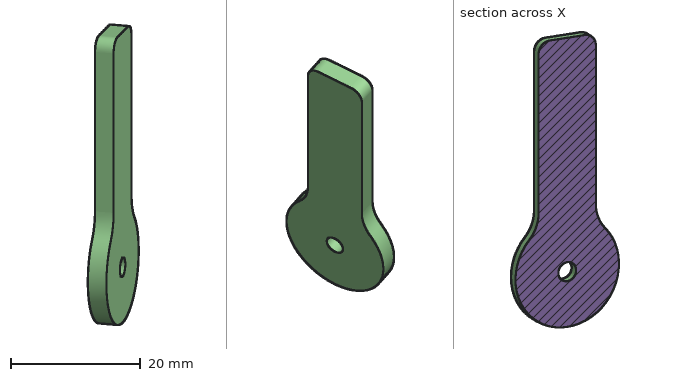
import cadquery as cq

total_length = 46.95
thickness = 3.0
disc_diameter = 18.0
arm_width = 10.0
hole_diameter = 3.0
tip_corner_radius = 2.0
neck_radius = 6.0

disc_radius = disc_diameter / 2
arm_top = total_length - disc_radius


def make_disc():
    """Round pivot end, centred on the origin."""
    return cq.Workplane("YZ").circle(disc_radius).extrude(thickness / 2, both=True)


def make_arm():
    """Straight arm rising from the disc centre, with rounded tip corners."""
    arm = cq.Workplane("XY").box(thickness, arm_width, arm_top, centered=(True, True, False))
    return arm.faces(">Z").edges("|X").fillet(tip_corner_radius)


def blend_neck(body):
    """Round the two inside corners where the arm meets the disc."""
    neck_height = (disc_radius**2 - (arm_width / 2) ** 2) ** 0.5
    neck_box_size = 0.45
    for side in (-1, 1):
        corner = cq.Vector(0, side * arm_width / 2, neck_height)
        reach = cq.Vector(thickness, neck_box_size, neck_box_size)
        selector = cq.selectors.BoxSelector(corner - reach, corner + reach)
        body = body.edges("|X").edges(selector).fillet(neck_radius)
    return body


lever = blend_neck(make_disc().union(make_arm()))
pivot_hole = cq.Workplane("YZ").circle(hole_diameter / 2).extrude(thickness / 2, both=True)
result = lever.cut(pivot_hole)